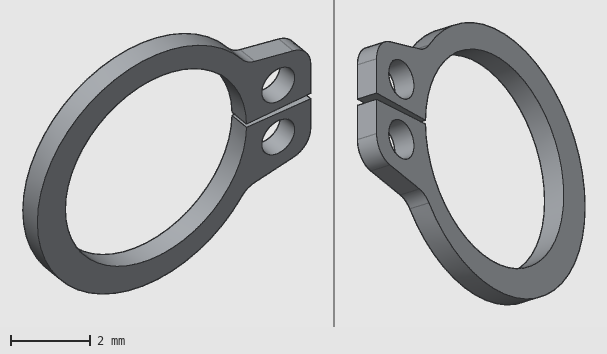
import cadquery as cq

thickness = 0.61
outer_radius = 3.6
inner_radius = 2.86
inner_offset = 0.15

overall_length = 8.64
lug_end = overall_length - outer_radius
lug_end_height = 1.6
lug_root = 2.765
lug_root_height = 2.03
lug_corner_radius = 0.68
neck_radius = 0.65

hole_radius = 0.52
hole_y = 4.01
hole_z = 0.83

gap_half_outer = 0.09
gap_half_inner = 0.05
gap_inner_end = inner_offset + inner_radius


def plate(sketch):
    """Extrude a YZ profile symmetrically to the ring thickness."""
    return sketch.extrude(thickness / 2, both=True)


def profile():
    return cq.Workplane("YZ")


def edges_near(body, y, z):
    """Select the two mirrored edges along X closest to (y, +-z)."""
    half = 0.04
    upper = cq.selectors.BoxSelector((-thickness, y - half, z - half), (thickness, y + half, z + half))
    lower = cq.selectors.BoxSelector((-thickness, y - half, -z - half), (thickness, y + half, -z + half))
    return body.edges("|X").edges(upper + lower)


disc = plate(profile().circle(outer_radius))
lug_points = [
    (0, -lug_root_height),
    (lug_root, -lug_root_height),
    (lug_end, -lug_end_height),
    (lug_end, lug_end_height),
    (lug_root, lug_root_height),
    (0, lug_root_height),
]
body = disc.union(plate(profile().polyline(lug_points).close()))

body = edges_near(body, lug_end, lug_end_height).fillet(lug_corner_radius)
flank_slope = (lug_root_height - lug_end_height) / (lug_end - lug_root)
flank_at_axis = lug_root_height + flank_slope * lug_root
slope_term = 1 + flank_slope**2
neck_y = (
    flank_slope * flank_at_axis + (slope_term * outer_radius**2 - flank_at_axis**2) ** 0.5
) / slope_term
neck_z = flank_at_axis - flank_slope * neck_y
body = edges_near(body, neck_y, neck_z).fillet(neck_radius)

body = body.cut(plate(profile().center(inner_offset, 0).circle(inner_radius)))

holes = profile().pushPoints([(hole_y, hole_z), (hole_y, -hole_z)]).circle(hole_radius)
body = body.cut(plate(holes))

gap_points = [
    (inner_offset, -gap_half_inner),
    (gap_inner_end, -gap_half_inner),
    (lug_end, -gap_half_outer),
    (lug_end, gap_half_outer),
    (gap_inner_end, gap_half_inner),
    (inner_offset, gap_half_inner),
]
result = body.cut(plate(profile().polyline(gap_points).close()))